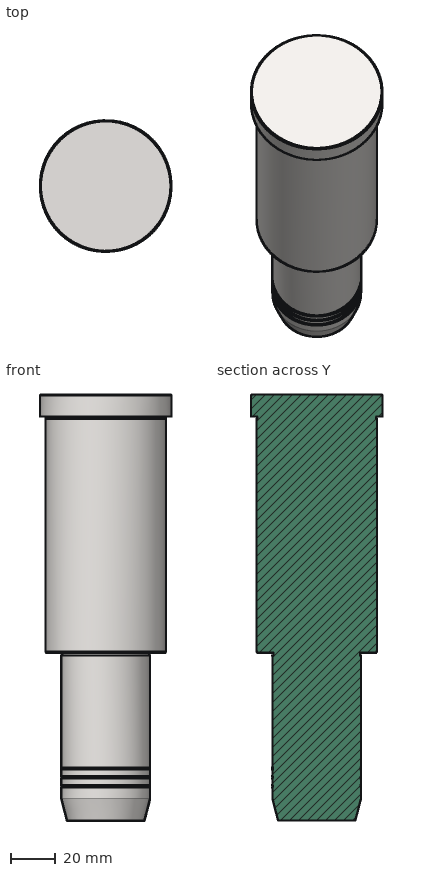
import cadquery as cq

total_length = 191.0
head_diameter = 59.0
head_height = 10.0
head_chamfer = 0.5
body_diameter = 54.0
body_bottom = 75.3
body_chamfer = 0.5
shank_diameter = 40.0
tip_diameter = 34.8
taper_height = 10.0
tip_fillet = 0.5

relief_height = 1.1
relief_depth = 0.4

groove_depth = 0.4
head_groove_width = 1.1
groove_width = 1.0
groove_pitch = 4.0
groove_count = 3
lowest_groove_middle = 15.5

head_bottom = total_length - head_height
head_groove_middle = head_bottom - head_groove_width / 2


def cylinder(diameter, bottom, top):
    """Upright cylinder on the Z axis between two heights."""
    return cq.Workplane("XY").workplane(offset=bottom).circle(diameter / 2).extrude(top - bottom)


def ring(diameter, depth, bottom, height):
    """Ring-shaped cutter that sinks a groove into a cylinder of the given diameter."""
    return (
        cq.Workplane("XY").workplane(offset=bottom)
        .circle(diameter / 2 + depth).circle(diameter / 2 - depth).extrude(height)
    )


def vee_ring(diameter, depth, middle, width):
    """Ring-shaped cutter for a V-groove in a cylinder, centred at the given height."""
    radius = diameter / 2
    half_width = width / 2
    profile = [
        (radius, middle - half_width),
        (radius - depth, middle),
        (radius, middle + half_width),
    ]
    return cq.Workplane("XZ").polyline(profile).close().revolve(360, (0, 0, 0), (0, 1, 0))


head = cylinder(head_diameter, head_bottom, total_length).faces(">Z").chamfer(head_chamfer)
body = cylinder(body_diameter, body_bottom, head_bottom).faces("<Z").chamfer(body_chamfer)
shank = cylinder(shank_diameter, taper_height, body_bottom)

tip = (
    cq.Workplane("XY").circle(tip_diameter / 2)
    .workplane(offset=taper_height).circle(shank_diameter / 2)
    .loft(ruled=True)
    .faces("<Z").edges().fillet(tip_fillet)
)

result = head.union(body).union(shank).union(tip)

result = result.cut(vee_ring(body_diameter, groove_depth, head_groove_middle, head_groove_width))
result = result.cut(ring(shank_diameter, relief_depth, body_bottom - relief_height, relief_height))

for index in range(groove_count):
    groove_middle = lowest_groove_middle + index * groove_pitch
    result = result.cut(vee_ring(shank_diameter, groove_depth, groove_middle, groove_width))